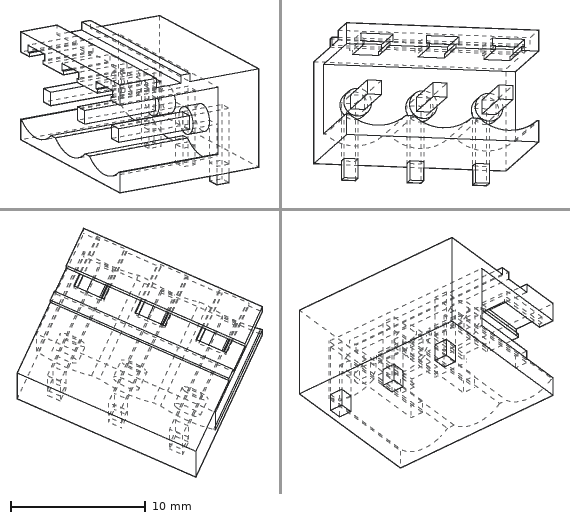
import cadquery as cq

WIDTH = 14.6
DEPTH = 12.0
BODY_HEIGHT = 7.72
BACK_WALL = 3.53
FLOOR_HEIGHT = 1.6
ROOF_UNDERSIDE = 6.88

CONTACT_COUNT = 3
PITCH = 5.0
CONTACT_Z = 3.84
CONTACT_XS = [(i - (CONTACT_COUNT - 1) / 2) * PITCH for i in range(CONTACT_COUNT)]

LIP_TOP = 8.47
LIP_BACK = 3.14
RIDGE_TOP = 8.35
RIDGE_WIDTH = 0.76
RIDGE_FRONT = 5.27

SLOT_WIDTH = 2.45
SLOT_NECK_WIDTH = 1.99
SLOT_SHOULDER_Z = 7.17
SLOT_LENGTH = 4.16

TROUGH_WIDTH = 4.35
TROUGH_BOTTOM_Z = 0.79

COLLAR_DIAMETER = 2.1
COLLAR_LENGTH = 1.42

PIN_SIZE = 1.07
PIN_FRONT = 0.93
TAIL_FROM_BACK = 2.06
TAIL_LENGTH = 1.46

CAVITY_BACK = DEPTH - BACK_WALL


def block(x_center, x_size, y_min, y_max, z_min, z_max):
    """Box centred on x_center, spanning the given Y and Z ranges."""
    box = cq.Workplane("XY").box(x_size, y_max - y_min, z_max - z_min, centered=(True, False, False))
    return box.translate((x_center, y_min, z_min))


def make_shell():
    """C-shaped body with the front lip and the ridge along the roof."""
    ridge_back = RIDGE_FRONT + RIDGE_WIDTH
    profile = [
        (0, 0),
        (DEPTH, 0),
        (DEPTH, BODY_HEIGHT),
        (ridge_back, BODY_HEIGHT),
        (ridge_back, RIDGE_TOP),
        (RIDGE_FRONT, RIDGE_TOP),
        (RIDGE_FRONT, BODY_HEIGHT),
        (LIP_BACK, BODY_HEIGHT),
        (LIP_BACK, LIP_TOP),
        (0, LIP_TOP),
        (0, ROOF_UNDERSIDE),
        (CAVITY_BACK, ROOF_UNDERSIDE),
        (CAVITY_BACK, FLOOR_HEIGHT),
        (0, FLOOR_HEIGHT),
    ]
    return cq.Workplane("YZ").polyline(profile).close().extrude(WIDTH / 2, both=True)


def make_trough(x):
    """Circular segment to cut from the floor below one contact."""
    half = TROUGH_WIDTH / 2
    return (
        cq.Workplane("XZ")
        .moveTo(x - half, FLOOR_HEIGHT)
        .threePointArc((x, TROUGH_BOTTOM_Z), (x + half, FLOOR_HEIGHT))
        .close()
        .extrude(-CAVITY_BACK)
    )


def make_slot(x):
    """T-slot open to the front and below, and above behind the lip."""
    neck = block(x, SLOT_NECK_WIDTH, 0, SLOT_LENGTH, ROOF_UNDERSIDE, BODY_HEIGHT)
    head = block(x, SLOT_WIDTH, 0, SLOT_LENGTH, SLOT_SHOULDER_Z, BODY_HEIGHT)
    return neck.union(head)


def make_collar(x):
    """Round boss on the back wall of the cavity."""
    return (
        cq.Workplane("XZ", origin=(x, CAVITY_BACK, CONTACT_Z))
        .circle(COLLAR_DIAMETER / 2)
        .extrude(COLLAR_LENGTH)
    )


def make_pin(x):
    """Square pin running back into the wall, then down through the underside."""
    half = PIN_SIZE / 2
    tail_y = DEPTH - TAIL_FROM_BACK
    contact = block(x, PIN_SIZE, PIN_FRONT, tail_y + half, CONTACT_Z - half, CONTACT_Z + half)
    tail = block(x, PIN_SIZE, tail_y - half, tail_y + half, -TAIL_LENGTH, CONTACT_Z + half)
    return contact.union(tail)


pins = [make_pin(x) for x in CONTACT_XS]

housing = make_shell()
for x, pin in zip(CONTACT_XS, pins):
    housing = housing.cut(make_trough(x)).cut(make_slot(x)).union(make_collar(x)).cut(pin)

result = cq.Compound.makeCompound([housing.val(), *[pin.val() for pin in pins]])